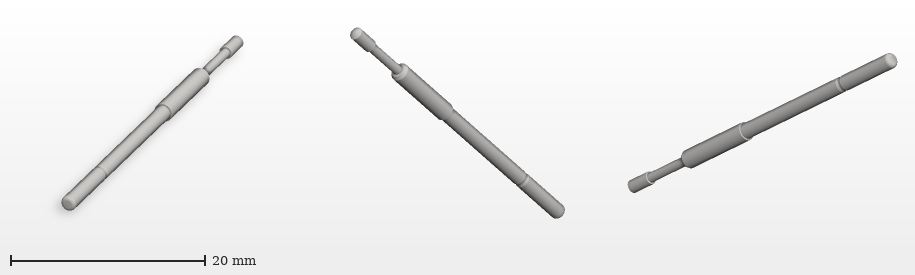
import cadquery as cq


BARREL_DIAMETER = 1.65
COLLAR_DIAMETER = 2.0
STEM_DIAMETER = 1.02
HEAD_DIAMETER = 1.4

TOTAL_LENGTH = 39.3
HEAD_LENGTH = 3.0
STEM_LENGTH = 5.3
COLLAR_LENGTH = 9.0
BARREL_LENGTH = TOTAL_LENGTH - HEAD_LENGTH - STEM_LENGTH - COLLAR_LENGTH

BARREL_END_ROUND = 0.4
COLLAR_NOSE_LENGTH = 0.38
COLLAR_NOSE_STEP = 0.24
TIP_DOME_HEIGHT = 0.28

GROOVE_REAR = 7.15
GROOVE_BOTTOM = 7.5
GROOVE_FRONT = 7.75
GROOVE_DEPTH = 0.09
GROOVE_FLANK_RADIUS = 0.8


def turned(profile):
    """Solid of revolution about the Y axis from a closed XY profile."""
    return profile.revolve(360, (0, 0, 0), (0, 1, 0))


def rod(diameter, start, length):
    """Cylinder on the Y axis running from Y = start toward +Y."""
    base = cq.Workplane("XZ", origin=(0, start, 0))
    return base.circle(diameter / 2).extrude(-length)


def make_barrel():
    barrel = rod(BARREL_DIAMETER, 0, BARREL_LENGTH)
    return barrel.faces("<Y").edges().fillet(BARREL_END_ROUND)


def make_groove_cutter():
    """Ring that leaves the groove in the barrel."""
    surface = BARREL_DIAMETER / 2
    profile = (
        cq.Workplane("XY")
        .moveTo(surface - GROOVE_DEPTH, GROOVE_BOTTOM)
        .radiusArc((surface, GROOVE_REAR), -GROOVE_FLANK_RADIUS)
        .lineTo(surface, GROOVE_FRONT)
        .close()
    )
    return turned(profile)


def make_collar():
    """Thick collar with a conical nose around the stem."""
    radius = COLLAR_DIAMETER / 2
    front = BARREL_LENGTH + COLLAR_LENGTH
    profile = (
        cq.Workplane("XY")
        .moveTo(0, BARREL_LENGTH)
        .lineTo(radius, BARREL_LENGTH)
        .lineTo(radius, front - COLLAR_NOSE_LENGTH)
        .lineTo(radius - COLLAR_NOSE_STEP, front)
        .lineTo(0, front)
        .close()
    )
    return turned(profile)


def make_head():
    """Contact head closed by a spherical dome."""
    radius = HEAD_DIAMETER / 2
    rear = TOTAL_LENGTH - HEAD_LENGTH
    dome_radius = (radius**2 + TIP_DOME_HEIGHT**2) / (2 * TIP_DOME_HEIGHT)
    profile = (
        cq.Workplane("XY")
        .moveTo(0, rear)
        .lineTo(radius, rear)
        .lineTo(radius, TOTAL_LENGTH - TIP_DOME_HEIGHT)
        .radiusArc((0, TOTAL_LENGTH), -dome_radius)
        .close()
    )
    return turned(profile)


def make_plunger():
    """Slim stem carrying the thicker contact head."""
    stem = rod(STEM_DIAMETER, BARREL_LENGTH + COLLAR_LENGTH, STEM_LENGTH)
    return stem.union(make_head())


grooved_barrel = make_barrel().cut(make_groove_cutter())
result = grooved_barrel.union(make_collar()).union(make_plunger())